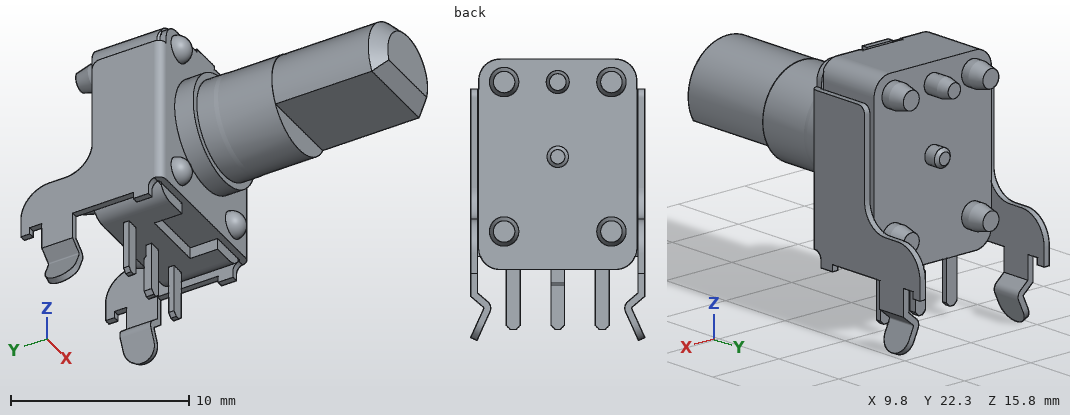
import cadquery as cq
import math


cover_width = 9.8
sheet = 0.4
bend_radius = 0.5
plate_top = 5.29
plate_bottom = -5.6
plate_corner = 1.12
tab_width = 1.96
wall_top = 3.81
wall_rear = 4.53
wall_top_radius = 0.5
wall_bottom = -6.13
foot_bottom = -6.55
relief_radius = 0.51
front_foot_start = 0.87
front_foot_end = 1.85
arm_rear = 9.17
arm_top = -3.5
arm_inner_radius = 1.75
arm_outer_radius = 1.87
arm_foot_width = 0.58

leg_width = 2.0
leg_center = 6.8
leg_bend_height = -7.83
leg_knee_height = -8.47
leg_knee_inset = 0.75
leg_knee_inner_radius = 0.1
leg_tip_height = -10.15
leg_tip_rounding = 0.98

body_width = 8.88
body_top = 5.49
body_bottom = -6.33
body_rear = 4.82
body_corner = 1.2
notch_width = 3.03
notch_depth = 0.25
notch_height = body_top - plate_top
body_bevel = 0.18
recess_width = 3.97
recess_depth = 1.78

dome_x = 3.0
dome_z = 4.2
dome_radius = 0.85
dome_height = 0.75

collar_radius = 3.45
collar_length = 1.2
neck_radius = 3.05
neck_taper_start = 2.32
core_radius = 3.03
core_start = 2.59
shaft_radius = 3.0
shaft_tip = 13.13
shaft_chamfer = 0.8
flat_start = 6.07
flat_drop = 1.5

corner_post = {"radius": 0.83, "straight_end": 5.42, "tip_radius": 0.6, "tip": 6.35}
top_post = {"radius": 0.65, "straight_end": 5.9, "tip_radius": 0.47, "tip": 6.62}
center_post = {"radius": 0.6, "straight_end": 5.62, "tip_radius": 0.4, "tip": 5.82}

pin_pitch = 2.5
pin_width = 0.8
pin_front = 3.3
pin_thickness = 0.35
pin_bottom = -9.7
pin_chamfer = 0.25
middle_pin_width = 0.75
middle_pin_step = 0.13
pin_step_height = -7.07

overlap = 0.22

half_width = cover_width / 2
wall_inside = half_width - sheet


def box(x0, x1, y0, y1, z0, z1):
    return cq.Workplane("XY").box(x1 - x0, y1 - y0, z1 - z0, centered=False).translate((x0, y0, z0))


def make_body():
    """Block with rounded long edges, bevelled, notched and recessed along its front face."""
    half_body = body_width / 2
    body = box(-half_body, half_body, sheet, body_rear, body_bottom, body_top)
    body = body.edges("|Y").fillet(body_corner)
    notch = box(-notch_width / 2, notch_width / 2, sheet, sheet + notch_depth,
                body_top - notch_height, body_top)
    recess = box(-recess_width / 2, recess_width / 2, sheet, sheet + recess_depth,
                 body_bottom, plate_bottom)
    body = body.cut(notch).cut(recess)
    bevel = (
        cq.Workplane("XY", origin=(0, 0, body_bottom))
        .polyline([(-half_body, sheet), (-half_body + body_bevel, sheet), (-half_body, sheet + body_bevel)])
        .close()
        .extrude(body_top - body_bottom)
    )
    return body.cut(bevel).cut(bevel.mirror("YZ"))


def make_plate():
    """Front plate between the bends, with rounded top corners and a centre tab."""
    flat_half = half_width - bend_radius
    plate = box(-flat_half, flat_half, 0, sheet, plate_bottom, plate_top)
    plate = plate.edges("|Y and >Z").fillet(plate_corner)
    tab = box(-tab_width / 2, tab_width / 2, 0, sheet, plate_top - overlap, body_top)
    return plate.union(tab)


def make_bend():
    """Quarter-round corner joining the plate to the left wall."""
    start = -half_width + bend_radius
    inner_radius = bend_radius - sheet
    diagonal = math.sqrt(0.5)
    return (
        cq.Workplane("XY", origin=(0, 0, plate_bottom))
        .moveTo(start, 0)
        .threePointArc((start - bend_radius * diagonal, bend_radius * (1 - diagonal)),
                       (-half_width, bend_radius))
        .lineTo(-wall_inside, bend_radius)
        .threePointArc((start - inner_radius * diagonal, bend_radius - inner_radius * diagonal),
                       (start, sheet))
        .close()
        .extrude(wall_top - plate_bottom)
    )


def make_wall():
    """Left side wall with its rear arm and the two small feet."""
    return (
        cq.Workplane("YZ", origin=(-half_width, 0, 0))
        .moveTo(bend_radius, wall_top)
        .lineTo(wall_rear - wall_top_radius, wall_top)
        .tangentArcPoint((wall_top_radius, -wall_top_radius))
        .lineTo(wall_rear, arm_top + arm_inner_radius)
        .tangentArcPoint((arm_inner_radius, -arm_inner_radius))
        .lineTo(arm_rear - arm_outer_radius, arm_top)
        .tangentArcPoint((arm_outer_radius, -arm_outer_radius))
        .lineTo(arm_rear, foot_bottom)
        .lineTo(arm_rear - arm_foot_width, foot_bottom)
        .lineTo(arm_rear - arm_foot_width, wall_bottom)
        .lineTo(front_foot_end, wall_bottom)
        .lineTo(front_foot_end, foot_bottom)
        .lineTo(front_foot_start, foot_bottom)
        .lineTo(front_foot_start, plate_bottom - relief_radius)
        .radiusArc((bend_radius, plate_bottom), -relief_radius)
        .close()
        .extrude(sheet)
    )


def make_leg():
    """Strip hanging from the left wall, kinked inward and then splayed outward to a round tip."""
    knee_x = -half_width + leg_knee_inset
    outer_line = [
        (-half_width, wall_bottom),
        (-half_width, leg_bend_height),
        (knee_x, leg_knee_height),
        (-half_width, leg_tip_height),
    ]
    splay = math.atan2(leg_knee_inset, leg_knee_height - leg_tip_height)
    kink = math.atan2(leg_knee_inset, leg_bend_height - leg_knee_height)
    bend_lift = sheet * math.tan(kink / 2)
    knee_turn = (kink + splay) / 2
    knee_reach = sheet / math.cos(knee_turn)
    knee_tilt = (kink - splay) / 2
    inner_line = [
        (-half_width + sheet * math.cos(splay), leg_tip_height - sheet * math.sin(splay)),
        (knee_x + knee_reach * math.cos(knee_tilt), leg_knee_height + knee_reach * math.sin(knee_tilt)),
        (-wall_inside, leg_bend_height + bend_lift),
        (-wall_inside, wall_bottom),
    ]
    strip = (
        cq.Workplane("XZ", origin=(0, leg_center + leg_width / 2, 0))
        .polyline(outer_line + inner_line)
        .close()
        .extrude(leg_width)
    )
    across_tip = cq.Vector(math.cos(splay), 0, -math.sin(splay))
    strip = strip.edges("|Y and >X").fillet(leg_knee_inner_radius + sheet)
    inner_knee = cq.selectors.NearestToPointSelector((knee_x, leg_center, leg_knee_height))
    strip = strip.edges(inner_knee).fillet(leg_knee_inner_radius)
    return strip.edges(cq.selectors.ParallelDirSelector(across_tip)).fillet(leg_tip_rounding)


def make_dome(x, z):
    """Spherical cap standing proud of the plate."""
    sphere = cq.Workplane("XY").sphere(dome_radius).translate((x, dome_radius - dome_height, z))
    front_part = box(x - dome_radius, x + dome_radius, -dome_height, overlap,
                     z - dome_radius, z + dome_radius)
    return sphere.intersect(front_part)


def make_post(x, z, radius, straight_end, tip_radius, tip):
    """Locating post on the rear face: a cylinder ending in a cone."""
    base = body_rear - overlap
    return (
        cq.Workplane("XY")
        .polyline([(0, base), (radius, base), (radius, straight_end), (tip_radius, tip), (0, tip)])
        .close()
        .revolve(360, (0, 0, 0), (0, 1, 0))
        .translate((x, 0, z))
    )


def make_shaft():
    """Stepped round bushing and core, ending in a D-shaped shaft with a chamfered tip."""
    shaft = cq.Workplane("XZ").circle(shaft_radius).extrude(shaft_tip)
    shaft = shaft.cut(box(-shaft_radius, shaft_radius, -shaft_tip, -flat_start, -shaft_radius, -flat_drop))
    shaft = shaft.faces("<Y").chamfer(shaft_chamfer)
    bushing = (
        cq.Workplane("XY")
        .polyline([
            (0, sheet),
            (collar_radius, sheet),
            (collar_radius, -collar_length),
            (neck_radius, -collar_length),
            (neck_radius, -neck_taper_start),
            (core_radius, -core_start),
            (core_radius, -flat_start),
            (0, -flat_start),
        ])
        .close()
        .revolve(360, (0, 0, 0), (0, 1, 0))
    )
    return shaft.union(bushing)


def make_pin(x, width, step=0):
    """Flat terminal with a tapered end, optionally thickened at the rear below a sloped step."""
    rear = pin_front + pin_thickness
    top = body_bottom + overlap
    outline = [(pin_front, top), (pin_front, pin_bottom), (rear + step, pin_bottom)]
    if step:
        outline += [(rear + step, pin_step_height - step), (rear, pin_step_height)]
    outline.append((rear, top))
    pin = cq.Workplane("YZ", origin=(x - width / 2, 0, 0)).polyline(outline).close().extrude(width)
    return pin.faces("<Z").edges("|Y").chamfer(pin_chamfer)


result = make_body().union(make_plate()).union(make_shaft())

left_side = make_bend().union(make_wall()).union(make_leg())
result = result.union(left_side).union(left_side.mirror("YZ"))

for side in (-1, 1):
    for level in (-1, 1):
        result = result.union(make_dome(side * dome_x, level * dome_z))
        result = result.union(make_post(side * dome_x, level * dome_z, **corner_post))
    result = result.union(make_pin(side * pin_pitch, pin_width))

result = result.union(make_post(0, dome_z, **top_post))
result = result.union(make_post(0, 0, **center_post))
result = result.union(make_pin(0, middle_pin_width, middle_pin_step))